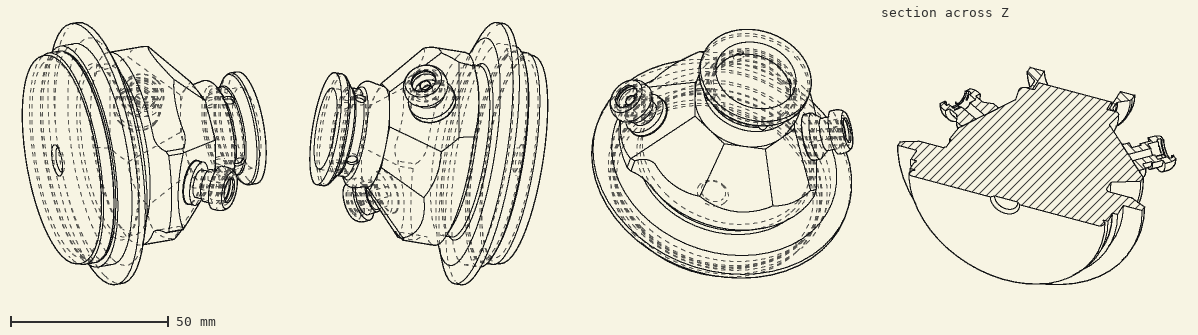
import cadquery as cq
import math


front_face_radius = 31.9
front_bead_radius = 1.6
front_band_radius = 34.0
front_groove_radius = 33.7
front_band_top = 6.8
plug_start = 7.5
plug_radius = 35.5
centre_recess_radius = 5.0
centre_recess_floor_radius = 8.0 / 2
centre_recess_depth = 1.0

flange_start = 12.3
flange_rim_top = 14.4
flange_top = 17.0
flange_radius = 42.0
flange_top_radius = 36.5
waist_radius = 55.0 / 2
waist_flare = 0.8

shell_start = 21.3
shell_chamfer_top = 23.0
shell_top = 47.55
shell_radius = 31.0
facet_count = 8
facet_top_distance = 16.1
facet_tilt = 45.0
side_facet_tilt = 30.0
side_flat_top = 27.9
side_flat_tilt = 5.0
cutter_size = 126.0

lug_radius = 36.0
lug_root = (26.0, 16.8)
lug_fillet_point = (29.1, 14.95)
lug_fillet_end = (32.0, 14.6)
lug_corner_x = 33.35
lug_corner_z = math.sqrt(lug_radius**2 - lug_corner_x**2)

collar_shoulder = 52.3
collar_top = 54.35
collar_radius = 17.05
collar_top_radius = 15.6
spigot_radius = 12.5
spigot_top = 58.1

eyepiece_top = 64.0
eyepiece_bore_radius = 13.0
eyepiece_foot_radius = 30.0 / 2
neck_radius = 14.1
neck_start = 55.35
neck_end = 58.05
cone_start = 58.55
cone_start_radius = 14.4
rim_radius = 36.0 / 2
rim_start = 61.65
rim_edge_start = 61.0
rim_edge_radius = 17.6
vent_count = 4
vent_height = 56.45
vent_diameter = 3.5
vent_first_angle = 72.6

port_length = 13.0
port_base_radius = 7.1
port_base_chamfer = 0.25
head_start = 8.9
head_round_start = 10.6
head_radius = 14.0 / 2
tip_radius = 6.0
head_round_mid = (11.9, 6.7)
port_neck_radius = 10.5 / 2
left_port_height = 35.3
left_flare_start = 2.6
left_flare_end = 5.4
left_flange_radius = 7.5
right_port_height = 35.1
right_flange_top = 2.35
right_flange_radius = 14.0 / 2
right_slim_radius = 9.0 / 2
right_slim_end = 5.4
socket_radius = 8.0 / 2
socket_depth = 5.4
socket_groove_radius = 4.9
socket_groove_start = 0.7
socket_groove_end = 1.9
tube_outer_radius = 1.8
tube_inner_radius = 1.6
tube_tip_depth = 2.4


def revolve_about_y(points):
    """Solid of revolution from (radius, y) points."""
    return cq.Workplane("XY").polyline(points).close().revolve(360, (0, 0, 0), (0, 1, 0))


def make_base():
    """Plug, flange and waist, with a round-edged front and a conical centre recess."""
    bead_width = 2 * front_bead_radius
    base = (
        cq.Workplane("XY")
        .moveTo(0, 0)
        .lineTo(front_face_radius, 0)
        .threePointArc((front_face_radius + front_bead_radius, front_bead_radius),
                       (front_face_radius, bead_width))
        .lineTo(front_band_radius, bead_width)
        .lineTo(front_band_radius, front_band_top)
        .lineTo(front_groove_radius, front_band_top)
        .lineTo(front_groove_radius, plug_start)
        .lineTo(plug_radius, plug_start)
        .lineTo(plug_radius, flange_start)
        .lineTo(flange_radius, flange_start)
        .lineTo(flange_radius, flange_rim_top)
        .lineTo(flange_top_radius, flange_top)
        .lineTo(waist_radius + waist_flare, flange_top)
        .lineTo(waist_radius, flange_top + waist_flare)
        .lineTo(waist_radius, shell_start)
        .lineTo(0, shell_start)
        .close()
        .revolve(360, (0, 0, 0), (0, 1, 0))
    )
    recess = revolve_about_y([
        (0, 0),
        (centre_recess_radius, 0),
        (centre_recess_floor_radius, centre_recess_depth),
        (0, centre_recess_depth),
    ])
    return base.cut(recess)


def facet_cutter(distance, height, tilt, angle):
    """Block outside a plane that leans `tilt` degrees from the main axis."""
    block = cq.Workplane("XY").box(cutter_size, cutter_size, cutter_size, centered=(False, True, True))
    return (
        block.rotate((0, 0, 0), (0, 0, 1), tilt)
        .translate((distance, height, 0))
        .rotate((0, 0, 0), (0, 1, 0), angle)
    )


def make_shell():
    """Round drum with a lug on +X, cut to an eight-sided pyramid at the top."""
    height = shell_top - shell_start
    drum = cq.Workplane("XZ", origin=(0, shell_start, 0)).circle(shell_radius).extrude(-height)
    lug = (
        cq.Workplane("XZ", origin=(0, shell_start, 0))
        .moveTo(0, -lug_root[1])
        .lineTo(lug_root[0], -lug_root[1])
        .threePointArc((lug_fillet_point[0], -lug_fillet_point[1]),
                       (lug_fillet_end[0], -lug_fillet_end[1]))
        .lineTo(lug_corner_x, -lug_corner_z)
        .threePointArc((lug_radius, 0), (lug_corner_x, lug_corner_z))
        .lineTo(*lug_fillet_end)
        .threePointArc(lug_fillet_point, lug_root)
        .lineTo(0, lug_root[1])
        .close()
        .extrude(-height)
    )
    chamfer_slope = (shell_chamfer_top - shell_start) / (shell_radius - waist_radius)
    chamfer_end = shell_start + chamfer_slope * (flange_radius - waist_radius)
    envelope = revolve_about_y([
        (0, shell_start),
        (waist_radius, shell_start),
        (flange_radius, chamfer_end),
        (flange_radius, shell_top),
        (0, shell_top),
    ])
    shell = drum.union(lug).intersect(envelope)

    for index in range(facet_count):
        angle = index * 360 / facet_count
        tilt = side_facet_tilt if angle == 180 else facet_tilt
        shell = shell.cut(facet_cutter(facet_top_distance, shell_top, tilt, angle))
    side_flat_drop = shell_top - side_flat_top
    side_flat_distance = facet_top_distance + side_flat_drop * math.tan(math.radians(side_facet_tilt))
    return shell.cut(facet_cutter(side_flat_distance, side_flat_top, side_flat_tilt, 180))


def make_collar():
    """Flaring collar with a rounded shoulder and a spigot that stands inside the eyepiece."""
    shoulder_height = collar_top - collar_shoulder
    shoulder_mid = (
        collar_top_radius + (collar_radius - collar_top_radius) * math.sin(math.pi / 4),
        collar_shoulder + shoulder_height * math.sin(math.pi / 4),
    )
    return (
        cq.Workplane("XY")
        .moveTo(0, shell_top)
        .lineTo(facet_top_distance, shell_top)
        .lineTo(collar_radius, collar_shoulder)
        .threePointArc(shoulder_mid, (collar_top_radius, collar_top))
        .lineTo(spigot_radius, collar_top)
        .lineTo(spigot_radius, spigot_top)
        .lineTo(0, spigot_top)
        .close()
        .revolve(360, (0, 0, 0), (0, 1, 0))
    )


def make_housing():
    return make_base().union(make_shell()).union(make_collar())


def make_eyepiece():
    """Open ring with a flared rim and radial vents through its neck."""
    eyepiece = revolve_about_y([
        (eyepiece_bore_radius, collar_top),
        (eyepiece_foot_radius, collar_top),
        (neck_radius, neck_start),
        (neck_radius, neck_end),
        (cone_start_radius, cone_start),
        (rim_edge_radius, rim_edge_start),
        (rim_radius, rim_start),
        (rim_radius, eyepiece_top),
        (eyepiece_bore_radius, eyepiece_top),
    ])
    for index in range(vent_count):
        angle = vent_first_angle + index * 360 / vent_count
        vent = (
            cq.Workplane("YZ", origin=(0, vent_height, 0))
            .circle(vent_diameter / 2)
            .extrude(eyepiece_foot_radius)
            .rotate((0, 0, 0), (0, 1, 0), -angle)
        )
        eyepiece = eyepiece.cut(vent)
    return eyepiece


def make_port(stem, height, tilt, side):
    """Connector standing square on the facet at `side` (+1 or -1 along X).

    `stem` lists (radius, distance) points from the facet up to the head.
    """
    lean = math.radians(tilt)
    centre_x = facet_top_distance + (shell_top - height) * math.tan(lean)
    axis = (side * math.cos(lean), math.sin(lean))
    plane = cq.Plane(origin=(side * centre_x, height, 0), xDir=(0, 0, 1), normal=(-axis[1], axis[0], 0))

    outside = (
        cq.Workplane(plane)
        .polyline([(0, 0), (port_base_radius, 0), *stem, (head_radius, head_start),
                   (head_radius, head_round_start)])
        .threePointArc((head_round_mid[1], head_round_mid[0]), (tip_radius, port_length))
        .lineTo(0, port_length)
        .close()
        .revolve(360, (0, 0, 0), (0, 1, 0))
    )
    tube_tip = port_length - tube_tip_depth
    socket_floor = port_length - socket_depth
    socket = (
        cq.Workplane(plane)
        .polyline([
            (0, 0),
            (tube_inner_radius, 0),
            (tube_inner_radius, tube_tip),
            (tube_outer_radius, tube_tip),
            (tube_outer_radius, socket_floor),
            (socket_radius, socket_floor),
            (socket_radius, port_length - socket_groove_end),
            (socket_groove_radius, port_length - socket_groove_end),
            (socket_groove_radius, port_length - socket_groove_start),
            (socket_radius, port_length - socket_groove_start),
            (socket_radius, port_length),
            (0, port_length),
        ])
        .close()
        .revolve(360, (0, 0, 0), (0, 1, 0))
    )
    return outside.cut(socket)


left_stem = [
    (left_flange_radius, port_base_chamfer),
    (left_flange_radius, left_flare_start),
    (port_neck_radius, left_flare_end),
    (port_neck_radius, head_start),
]
right_stem = [
    (port_base_radius, port_base_chamfer),
    (right_flange_radius, port_base_chamfer),
    (right_flange_radius, right_flange_top),
    (right_slim_radius, right_flange_top),
    (right_slim_radius, right_slim_end),
    (port_neck_radius, right_slim_end),
    (port_neck_radius, head_start),
]

housing = make_housing()
eyepiece = make_eyepiece()
left_port = make_port(left_stem, left_port_height, side_facet_tilt, -1)
right_port = make_port(right_stem, right_port_height, facet_tilt, 1)

result = cq.Compound.makeCompound([housing.val(), eyepiece.val(), left_port.val(), right_port.val()])